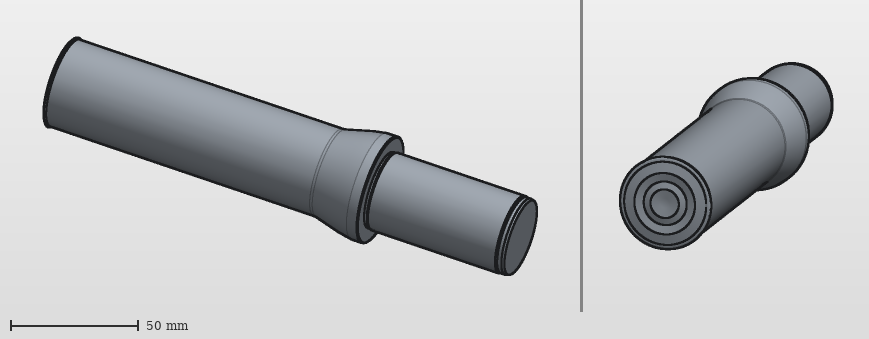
import cadquery as cq

overall_length = 198.0

head_diameter = 37.0
ridge_offset = 0.8
inner_ridge_radius = 5.7
valley_radius = 8.7
outer_ridge_radius = 12.3
rim_radius = 16.6
corner_end = 1.4
head_length = 2.2

body_diameter = 36.0
body_end = 115.5
flare_start = 116.6
blend_rise = 0.14
flange_diameter = 44.0
flare_end = 133.0
flare_bulge = 0.35
flange_edge_chamfer = 0.4
flange_end = 137.8
neck_diameter = 31.5
neck_end = 139.0
shank_diameter = 32.0
step_length = 0.5
shank_end = 194.2
tail_start = 195.0
tail_chamfer_length = 1.2
tail_chamfer_depth = 0.4


def turn(profile):
    """Revolve a closed (x, radius) half profile about the X axis."""
    return profile.close().revolve(360, (0, 0, 0), (1, 0, 0))


def make_cutting_head():
    """Disc with two ring-shaped ridges, a conical centre and a rounded corner that tapers back."""
    head_radius = head_diameter / 2
    corner_middle = (
        ridge_offset + 0.3 * (corner_end - ridge_offset),
        rim_radius + 0.7 * (head_radius - rim_radius),
    )
    profile = (
        cq.Workplane("XY")
        .moveTo(ridge_offset, 0)
        .lineTo(0, inner_ridge_radius)
        .lineTo(ridge_offset, valley_radius)
        .lineTo(0, outer_ridge_radius)
        .lineTo(ridge_offset, rim_radius)
        .threePointArc(corner_middle, (corner_end, head_radius))
        .lineTo(head_length, body_diameter / 2)
        .lineTo(head_length, 0)
    )
    return turn(profile)


def make_holder():
    """Long body flaring into a flange, then a relieved neck, a shank and a chamfered tail."""
    body_radius = body_diameter / 2
    flange_radius = flange_diameter / 2
    neck_radius = neck_diameter / 2
    shank_radius = shank_diameter / 2
    flare_start_radius = body_radius + blend_rise
    flare_middle = (
        (flare_start + flare_end) / 2,
        (flare_start_radius + flange_radius) / 2 + flare_bulge,
    )
    profile = (
        cq.Workplane("XY")
        .moveTo(head_length, 0)
        .lineTo(head_length, body_radius)
        .lineTo(body_end, body_radius)
        .lineTo(flare_start, flare_start_radius)
        .threePointArc(flare_middle, (flare_end, flange_radius))
        .lineTo(flange_end - flange_edge_chamfer, flange_radius)
        .lineTo(flange_end, flange_radius - flange_edge_chamfer)
        .lineTo(flange_end, neck_radius)
        .lineTo(neck_end, neck_radius)
        .lineTo(neck_end + step_length, shank_radius)
        .lineTo(shank_end, shank_radius)
        .lineTo(tail_start, neck_radius)
        .lineTo(overall_length - tail_chamfer_length, neck_radius)
        .lineTo(overall_length, neck_radius - tail_chamfer_depth)
        .lineTo(overall_length, 0)
    )
    return turn(profile)


cutting_head = make_cutting_head()
holder = make_holder()
result = cq.Compound.makeCompound([cutting_head.val(), holder.val()])